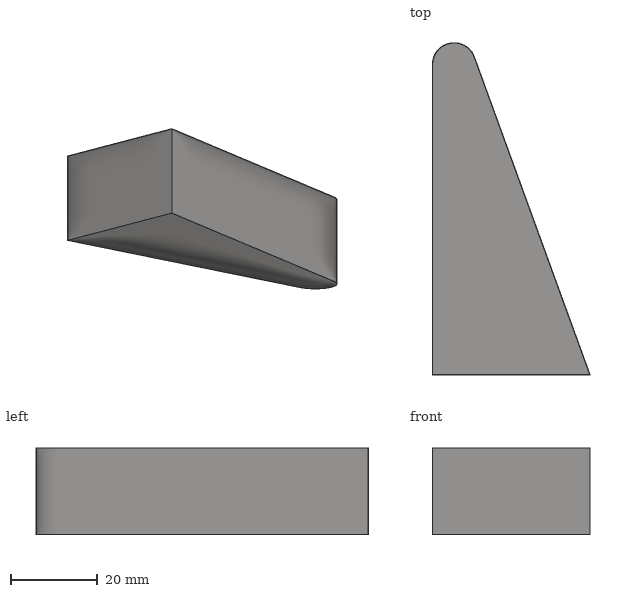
import cadquery as cq
import math

thickness = 20.0
apex_height = 100.0
apex_angle = 20.0
nose_radius = 5.0

base_width = apex_height * math.tan(math.radians(apex_angle))


def sharp_wedge():
    """Right-angled triangular block with its square corner at the origin."""
    corners = [(0, 0), (base_width, 0), (0, apex_height)]
    return cq.Workplane("XY").polyline(corners).close().extrude(thickness)


def round_nose(body):
    """Round the sharp vertical edge at the tip, tangent to both long sides."""
    return body.edges("|Z").edges(">Y").fillet(nose_radius)


result = round_nose(sharp_wedge())